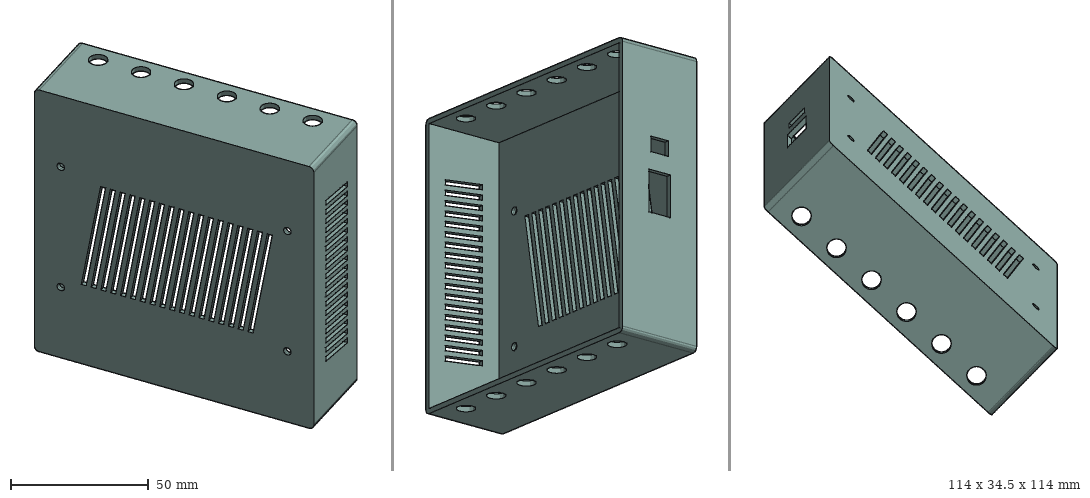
import cadquery as cq
import math

side = 114.0
depth = 34.5
wall = 2.0
corner_radius = 2.0

slit_count = 18
slit_pitch = 4.0
slit_width = 2.0
first_slit = -32.93
front_slit_length = 44.9
front_slit_lean = math.radians(9.93)
side_slit_length = depth / 2
side_slit_lean = math.radians(6.7)

screw_diameter = 3.0
screw_spacing_x = 92.4
screw_spacing_z = 52.4

port_count = 6
port_diameter = 7.0
port_pitch = 17.5
first_port_x = -45.0
port_from_rear = 7.1

small_window_width = 8.0
small_window_height = 6.0
small_window_z = 18.4
large_window_width = 10.0
large_window_height = 16.5
large_window_z = 0.2

cutter_depth = 2 * wall


def make_shell():
    """Tray with rounded outer edges along Y and a square-cornered cavity."""
    block = cq.Workplane("XY").box(side, depth, side).edges("|Y").fillet(corner_radius)
    inner_side = side - 2 * wall
    cavity = cq.Workplane("XY").box(inner_side, depth, inner_side).translate((0, wall, 0))
    return block.cut(cavity)


def slit_cutters(length, lean):
    """Row of slits along local x, leaning toward +x as local y grows, centred on local z."""
    half_length = length / 2
    half_width = slit_width / 2
    shift = half_length * math.tan(lean)
    slit = [
        (-shift - half_width, -half_length),
        (-shift + half_width, -half_length),
        (shift + half_width, half_length),
        (shift - half_width, half_length),
    ]
    row = cq.Workplane("XY")
    for index in range(slit_count):
        centre = first_slit + index * slit_pitch
        row = row.polyline([(x + centre, y) for x, y in slit]).close()
    return row.extrude(cutter_depth / 2, both=True)


def front_vent():
    """Slits in the -Y wall, stacked along X and leaning toward +X going up."""
    upright = slit_cutters(front_slit_length, front_slit_lean).rotate((0, 0, 0), (1, 0, 0), 90)
    return upright.translate((0, (wall - depth) / 2, 0))


def side_vent():
    """Slits in the +X wall, centred on the cavity depth, stacked along Z, rising toward -Y."""
    stacked = slit_cutters(side_slit_length, side_slit_lean).rotate((0, 0, 0), (0, 1, 0), -90)
    mirrored = stacked.mirror("XZ")
    return mirrored.translate(((side - wall) / 2, wall / 2, 0))


def screw_holes():
    """Four holes through the front wall."""
    holes = cq.Workplane("XZ").rect(screw_spacing_x, screw_spacing_z, forConstruction=True).vertices()
    cutters = holes.circle(screw_diameter / 2).extrude(cutter_depth / 2, both=True)
    return cutters.translate((0, (wall - depth) / 2, 0))


def port_holes():
    port_y = depth / 2 - port_from_rear
    centres = [(first_port_x + index * port_pitch, port_y) for index in range(port_count)]
    return cq.Workplane("XY").pushPoints(centres).circle(port_diameter / 2).extrude(side, both=True)


def window(width, height, z):
    return cq.Workplane("XY").box(cutter_depth, width, height).translate(((wall - side) / 2, 0, z))


result = (
    make_shell()
    .cut(front_vent())
    .cut(side_vent())
    .cut(screw_holes())
    .cut(port_holes())
    .cut(window(small_window_width, small_window_height, small_window_z))
    .cut(window(large_window_width, large_window_height, large_window_z))
)